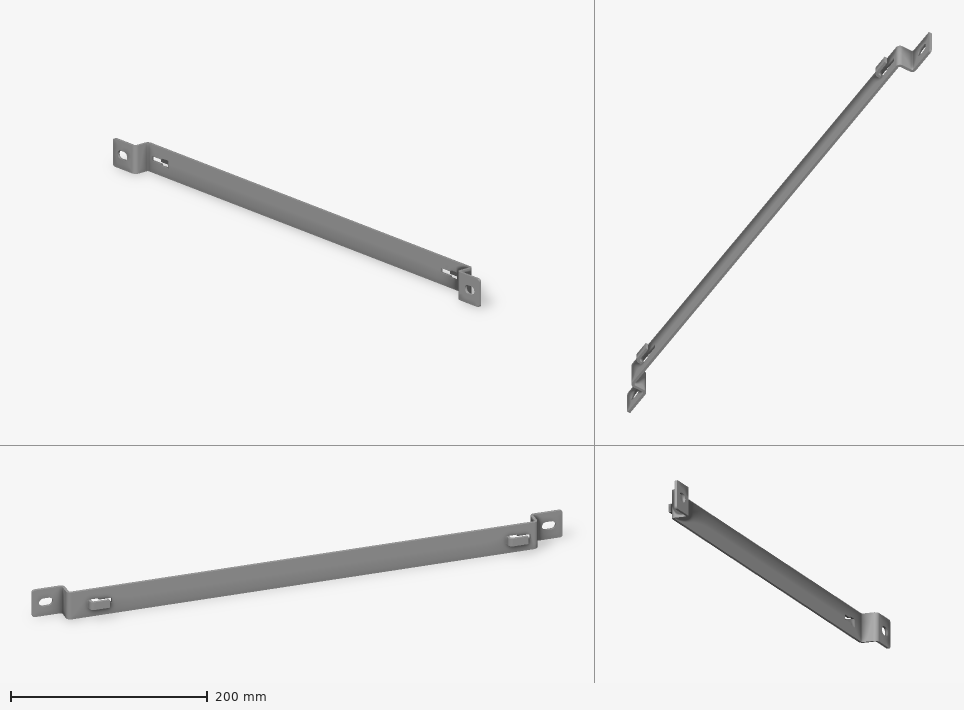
import cadquery as cq

length = 570.0
height = 30.0
thickness = 3.0

web_back = 20.0
riser_inset = 32.0
bend_inner = 1.5
bend_outer = bend_inner + thickness

corner_radius = 3.0
slot_length = 15.0
slot_width = 9.0
slot_inset = 15.0

hook_back = 28.0
hook_length = 20.5
hook_width = 8.5
hook_bend_inner = 1.5
hook_bend_outer = hook_bend_inner + thickness
hook_tip_xs = (-239.5, 210.5)

window_lead = 5.0
narrow_length = 14.0
narrow_width = 5.0

web_front = web_back - thickness
hook_front = hook_back - thickness
half = length / 2


def extrude_profile(points, depth):
    """Extrude an XY outline along Z, centred on Z = 0."""
    return cq.Workplane("XY").polyline(points).close().extrude(depth / 2, both=True)


def round_bend(body, inner_corner, outer_corner, inner_radius, outer_radius):
    """Round the two vertical edges of a sheet bend."""
    for (x, y), radius in ((inner_corner, inner_radius), (outer_corner, outer_radius)):
        body = body.edges(cq.selectors.NearestToPointSelector((x, y, 0))).fillet(radius)
    return body


def make_strip():
    riser_outer = half - riser_inset
    riser_inner = riser_outer - thickness
    right_side = [
        (riser_outer, web_back),
        (riser_outer, thickness),
        (half, thickness),
        (half, 0),
        (riser_inner, 0),
        (riser_inner, web_front),
    ]
    left_side = [(-x, y) for x, y in reversed(right_side)]
    strip = extrude_profile(right_side + left_side, height)
    for side in (-1, 1):
        outer_x = side * riser_outer
        inner_x = side * riser_inner
        strip = round_bend(strip, (inner_x, web_front), (outer_x, web_back), bend_inner, bend_outer)
        strip = round_bend(strip, (outer_x, thickness), (inner_x, 0), bend_inner, bend_outer)
    strip = strip.faces("<X or >X").edges("|Y").fillet(corner_radius)
    slots = (
        cq.Workplane("XZ")
        .pushPoints([(-half + slot_inset, 0), (half - slot_inset, 0)])
        .slot2D(slot_length, slot_width)
        .extrude(-thickness)
    )
    return strip.cut(slots)


def make_window(tip_x):
    """Opening with a narrow front part, ending where the hook bend begins."""
    start = tip_x - window_lead
    step = start + narrow_length
    end = tip_x + hook_length + hook_bend_inner
    narrow = cq.Workplane("XY").box(step - start, thickness, narrow_width, centered=(False, False, True))
    wide = cq.Workplane("XY").box(end - step, thickness, hook_width, centered=(False, False, True))
    narrow = narrow.translate((start, web_front, 0))
    return narrow.union(wide.translate((step, web_front, 0)))


def make_hook(tip_x):
    """Z-bent tongue that rises from the web and runs back over its window."""
    back_x = tip_x + hook_length
    front_x = back_x - thickness
    root_x = back_x + hook_bend_inner
    outline = [
        (tip_x, hook_front),
        (front_x, hook_front),
        (front_x, web_front),
        (root_x, web_front),
        (root_x, web_back),
        (back_x, web_back),
        (back_x, hook_back),
        (tip_x, hook_back),
    ]
    hook = extrude_profile(outline, hook_width)
    hook = round_bend(hook, (front_x, hook_front), (back_x, hook_back), hook_bend_inner, hook_bend_outer)
    bend = cq.Workplane("XY").center(root_x, web_back + hook_bend_inner)
    block = (
        bend.rect(hook_bend_outer, hook_bend_outer, centered=False)
        .extrude(hook_width / 2, both=True)
        .translate((-hook_bend_outer, -hook_bend_outer, 0))
    )
    ring = bend.circle(hook_bend_outer).circle(hook_bend_inner).extrude(hook_width / 2, both=True)
    return hook.cut(block).union(ring.intersect(block))


result = make_strip()
for hook_tip_x in hook_tip_xs:
    result = result.cut(make_window(hook_tip_x)).union(make_hook(hook_tip_x))
result = result.translate((0, -hook_back / 2, 0))